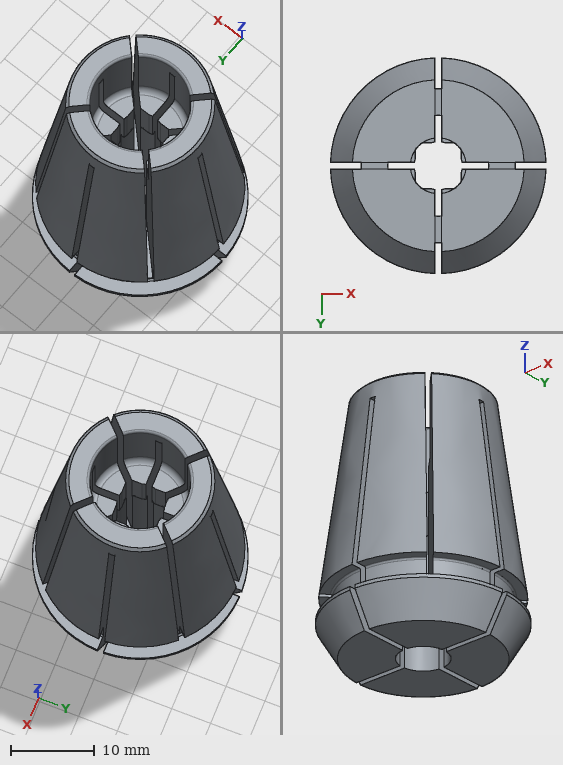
import cadquery as cq

total_height = 34.0

flange_diameter = 25.8
nose_radius = 10.27
rim_bottom = 4.45
rim_top = 4.93

groove_radius = 10.95
groove_top = 8.02
groove_fillet = 0.25

body_bottom_radius = 12.5
body_top_radius = 8.87
top_chamfer = 0.35

shank_radius = 3.33
shank_depth = 18.02
square_side = 5.45
pilot_radius = 2.85
relief_radius = 6.02
relief_floor = 23.8
relief_floor_fillet = 0.8
relief_mouth_fillet = 0.35

slot_width = 0.78
cross_slot_top = 31.45
diagonal_slot_floor = 5.4


def revolve_around_axis(points):
    return cq.Workplane("XZ").polyline(points).close().revolve(360, (0, 0, 0), (0, 1, 0))


def outer_body():
    body = revolve_around_axis([
        (0, 0),
        (nose_radius, 0),
        (flange_diameter / 2, rim_bottom),
        (flange_diameter / 2, rim_top),
        (groove_radius, rim_top),
        (groove_radius, groove_top),
        (body_bottom_radius, groove_top),
        (body_top_radius, total_height),
        (0, total_height),
    ])
    groove_corners = cq.selectors.RadiusNthSelector(2)
    body = body.edges(groove_corners).fillet(groove_fillet)
    return body.faces(">Z").edges().chamfer(top_chamfer)


def cylinder_between(radius, bottom, top):
    return cq.Workplane("XY").workplane(offset=bottom).circle(radius).extrude(top - bottom)


def hollow_centre():
    shank_bore = cylinder_between(shank_radius, 0, shank_depth)
    pilot_hole = cylinder_between(pilot_radius, shank_depth, relief_floor)
    square_socket = (
        cq.Workplane("XY")
        .workplane(offset=shank_depth)
        .rect(square_side, square_side)
        .extrude(relief_floor - shank_depth)
    )
    relief_bore = cylinder_between(relief_radius, relief_floor, total_height)
    relief_bore = relief_bore.faces("<Z").edges().fillet(relief_floor_fillet)
    return shank_bore.union(pilot_hole).union(square_socket).union(relief_bore)


def round_relief_mouth(body):
    mouth_edge = cq.selectors.RadiusNthSelector(0)
    return body.faces(">Z").edges(mouth_edge).fillet(relief_mouth_fillet)


def crossed_slots(angle, bottom, top):
    """Two slots through the whole diameter, at right angles to each other."""
    length = 2 * flange_diameter
    cutter = cq.Workplane("XY").workplane(offset=bottom).rect(length, slot_width).extrude(top - bottom)
    second = cutter.rotate((0, 0, 0), (0, 0, 1), 90)
    return cutter.union(second).rotate((0, 0, 0), (0, 0, 1), angle)


collet = round_relief_mouth(outer_body().cut(hollow_centre()))
collet = collet.cut(crossed_slots(0, 0, cross_slot_top))
result = collet.cut(crossed_slots(45, diagonal_slot_floor, total_height))